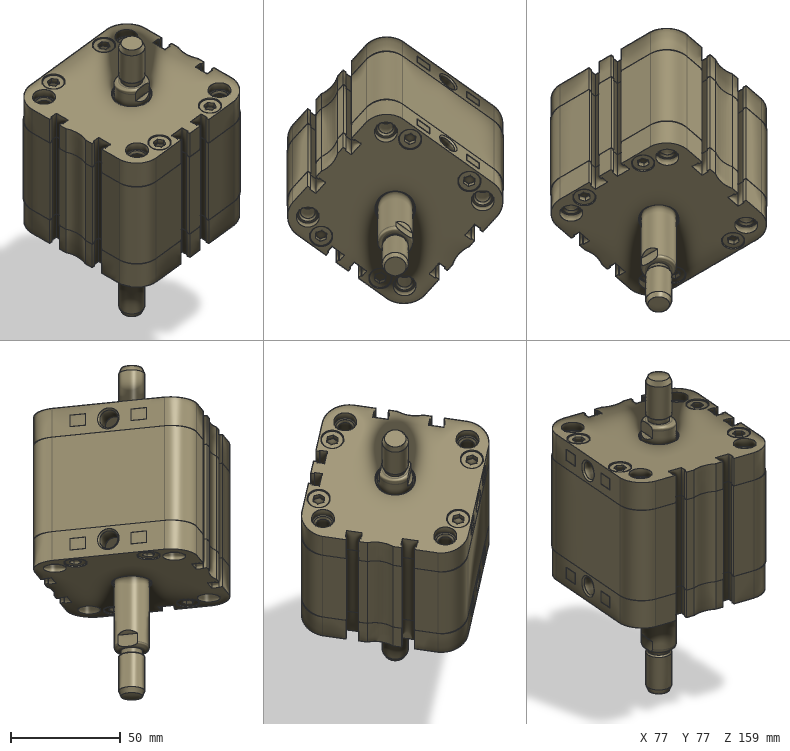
import cadquery as cq
import math

body_side = 77.0
body_height = 74.0
cap_height = 14.0
corner_radius = 11.8
cap_corner_relief = 0.3

slot_depth = 5.2
slot_width = 7.2
slot_neck_depth = 1.7
barrel_neck_width = 5.5
cap_neck_width = 5.9
side_slot_offset = 12.9
end_slot_offset = 6.5
groove_width = 12.0
groove_depth = 1.3

mount_offset = 28.3
mount_counterbore_diameter = 10.3
mount_counterbore_depth = 4.0
mount_countersink_diameter = 8.6
mount_hole_diameter = 6.7

screw_x = 32.3
screw_y = 17.3
screw_recess_diameter = 10.5
screw_head_diameter = 9.9
screw_recess_depth = 5.4
screw_head_drop = 0.5
socket_width = 5.0
socket_depth = 2.5

port_depth_below_face = 7.6
port_mouth_diameter = 10.2
port_diameter = 8.6
port_depth = 10.0
panel_offset = 14.5
panel_depth_below_face = 7.0
panel_width = 7.3
panel_height = 5.5
panel_depth = 0.2

rod_opening_diameter = 18.0
rod_opening_depth = 1.0
rod_seat_diameter = 17.6
rod_seat_depth = 1.9
rod_opening_chamfer = 0.24

rod_diameter = 16.0
rod_top_length = 30.0
rod_bottom_length = 55.0
thread_diameter = 12.0
thread_length = 22.0
undercut_diameter = 10.0
undercut_length = 2.2
undercut_cone_length = 0.6
tip_chamfer_length = 2.5
tip_diameter = 9.9
shoulder_fillet = 1.9
flat_width = 13.0
flat_length = 5.9

half_side = body_side / 2
barrel_height = body_height - 2 * cap_height
barrel_top = body_height - cap_height
rod_radius = rod_diameter / 2


def rounded_square(height, relief):
    """Square block on z = 0 whose corner arcs lie inside true quarter circles by the relief."""
    straight = half_side - corner_radius
    middle = straight + (corner_radius - relief) * math.cos(math.radians(45))
    outline = cq.Workplane("XY").moveTo(straight, -half_side)
    outline = outline.threePointArc((middle, -middle), (half_side, -straight))
    outline = outline.lineTo(half_side, straight)
    outline = outline.threePointArc((middle, middle), (straight, half_side))
    outline = outline.lineTo(-straight, half_side)
    outline = outline.threePointArc((-middle, middle), (-half_side, straight))
    outline = outline.lineTo(-half_side, -straight)
    outline = outline.threePointArc((-middle, -middle), (-straight, -half_side))
    return outline.close().extrude(height)


def slot_cutter(offset, neck_width, height):
    """Necked slot that opens through the +Y side at x = offset."""
    neck = cq.Workplane("XY").box(neck_width, slot_depth, height, centered=(True, False, False))
    pocket = cq.Workplane("XY").box(
        slot_width, slot_depth - slot_neck_depth, height, centered=(True, False, False)
    )
    return neck.union(pocket).translate((offset, half_side - slot_depth, 0))


def groove_cutter(height):
    """Shallow arc groove along the middle of the +Y side."""
    return (
        cq.Workplane("XY")
        .moveTo(-groove_width / 2, half_side)
        .threePointArc((0, half_side - groove_depth), (groove_width / 2, half_side))
        .close()
        .extrude(height)
    )


def profile_block(height, neck_width, relief):
    """Body section with slots in three sides, grooves in two and the hole for the rod."""
    block = rounded_square(height, relief)
    groove = groove_cutter(height)
    for side in (-1, 1):
        side_slot = slot_cutter(side * side_slot_offset, neck_width, height)
        block = block.cut(side_slot).cut(side_slot.mirror("XZ"))
        end_slot = slot_cutter(side * end_slot_offset, neck_width, height)
        block = block.cut(end_slot.rotate((0, 0, 0), (0, 0, 1), -90))
    block = block.cut(groove).cut(groove.mirror("XZ"))
    return block.cut(cq.Workplane("XY").circle(rod_radius).extrude(height))


def mounting_hole():
    """Counterbored, countersunk hole that enters the face z = cap_height."""
    floor = cap_height - mount_counterbore_depth
    hole_radius = mount_hole_diameter / 2
    sink_radius = mount_countersink_diameter / 2
    bore_radius = mount_counterbore_diameter / 2
    return (
        cq.Workplane("XZ")
        .lineTo(hole_radius, 0)
        .lineTo(hole_radius, floor - (sink_radius - hole_radius))
        .lineTo(sink_radius, floor)
        .lineTo(bore_radius, floor)
        .lineTo(bore_radius, cap_height)
        .lineTo(0, cap_height)
        .close()
        .revolve(360, (0, 0), (0, 1))
    )


def screw_cutter():
    """Recess around a sunken screw head, and its hexagon socket, from the face z = cap_height."""
    face = cq.Workplane("XY", origin=(0, 0, cap_height))
    recess = face.circle(screw_recess_diameter / 2).extrude(-screw_recess_depth)
    head_face = face.workplane(offset=-screw_head_drop)
    head = head_face.circle(screw_head_diameter / 2).extrude(screw_head_drop - screw_recess_depth)
    across_corners = socket_width / math.cos(math.radians(30))
    socket = head_face.transformed(rotate=(0, 0, 90)).polygon(6, across_corners).extrude(-socket_depth)
    return recess.cut(head).union(socket)


def port_cutter():
    """Air port with a chamfered mouth, going in from the -X side."""
    mouth = cq.Workplane("YZ", origin=(-half_side, 0, cap_height - port_depth_below_face))
    chamfer = (port_mouth_diameter - port_diameter) / 2
    return (
        mouth.circle(port_diameter / 2)
        .extrude(port_depth)
        .union(cq.Workplane(cq.Solid.makeCone(
            port_mouth_diameter / 2, port_diameter / 2, chamfer,
            pnt=mouth.plane.origin, dir=cq.Vector(1, 0, 0),
        )))
    )


def panel_cutter(y):
    """Shallow rectangular marking panel in the -X side."""
    return cq.Workplane("XY").box(
        panel_depth, panel_width, panel_height, centered=(False, True, True)
    ).translate((-half_side, y, cap_height - panel_depth_below_face))


def rod_opening():
    """Chamfered, stepped opening around the rod, from the face z = cap_height."""
    face = cq.Workplane("XY", origin=(0, 0, cap_height))
    return (
        face.circle(rod_opening_diameter / 2)
        .extrude(-rod_opening_depth)
        .union(face.circle(rod_seat_diameter / 2).extrude(-rod_seat_depth))
        .union(cq.Workplane(cq.Solid.makeCone(
            rod_opening_diameter / 2 + rod_opening_chamfer, rod_opening_diameter / 2,
            rod_opening_chamfer, pnt=cq.Vector(0, 0, cap_height), dir=cq.Vector(0, 0, -1),
        )))
    )


def end_cap():
    """End cap with its inner face on z = 0 and its outer face on z = cap_height."""
    cap = profile_block(cap_height, cap_neck_width, cap_corner_relief)
    cap = cap.cut(rod_opening()).cut(port_cutter())
    for x_side in (-1, 1):
        for y_side in (-1, 1):
            mount_place = (x_side * mount_offset, y_side * mount_offset, 0)
            screw_place = (x_side * screw_x, y_side * screw_y, 0)
            cap = cap.cut(mounting_hole().translate(mount_place))
            cap = cap.cut(screw_cutter().translate(screw_place))
    for y_side in (-1, 1):
        cap = cap.cut(panel_cutter(y_side * panel_offset))
    return cap


def rod_half(length):
    """Rod from z = 0 up to its threaded end, with two wrench flats below the shoulder."""
    shoulder = length - thread_length
    thread_start = shoulder + undercut_length
    thread_radius = thread_diameter / 2
    undercut_radius = undercut_diameter / 2
    half = (
        cq.Workplane("XZ")
        .lineTo(rod_radius, 0)
        .lineTo(rod_radius, shoulder - shoulder_fillet)
        .radiusArc((rod_radius - shoulder_fillet, shoulder), -shoulder_fillet)
        .lineTo(undercut_radius, shoulder)
        .lineTo(undercut_radius, thread_start)
        .lineTo(thread_radius, thread_start + undercut_cone_length)
        .lineTo(thread_radius, length - tip_chamfer_length)
        .lineTo(tip_diameter / 2, length)
        .lineTo(0, length)
        .close()
        .revolve(360, (0, 0), (0, 1))
    )
    flat_x = flat_width / 2
    flat_depth = rod_radius - flat_x
    flat = (
        cq.Workplane("XZ")
        .moveTo(flat_x, shoulder)
        .lineTo(flat_x, shoulder - flat_length)
        .lineTo(rod_radius, shoulder - flat_length - flat_depth)
        .lineTo(rod_radius, shoulder)
        .close()
        .extrude(rod_radius, both=True)
    )
    return half.cut(flat).cut(flat.mirror("YZ"))


def piston_rod():
    """Through rod; z = 0 is the middle of the body."""
    upper = rod_half(body_height / 2 + rod_top_length)
    lower = rod_half(body_height / 2 + rod_bottom_length).mirror("XY")
    return upper.union(lower).translate((0, 0, body_height / 2))


barrel = profile_block(barrel_height, barrel_neck_width, 0).translate((0, 0, cap_height))
top_cap = end_cap().translate((0, 0, barrel_top))
bottom_cap = end_cap().mirror("XY").translate((0, 0, cap_height))
rod = piston_rod()

result = cq.Compound.makeCompound([barrel.val(), top_cap.val(), bottom_cap.val(), rod.val()])